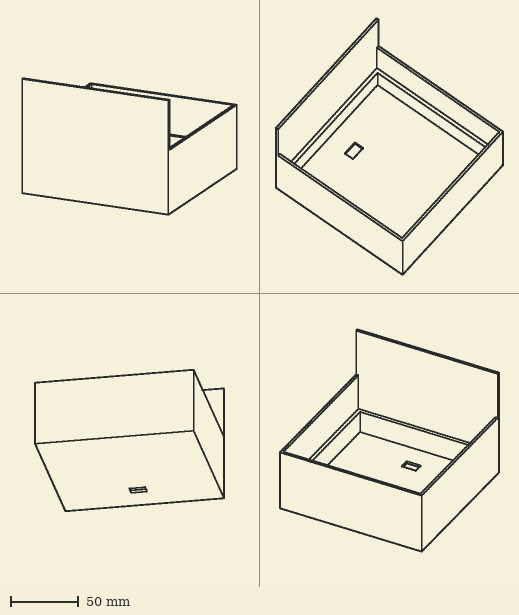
import cadquery as cq

side = 119.5
box_height = 50.0
panel_height = 89.0
wall = 2.0

floor = 2.0
ledge_height = 20.0
lower_wall = 5.0

opening_length = 12.0
opening_width = 7.6
opening_from_front = 26.2


def block(length, width, bottom, top, center_y=0.0):
    """Upright block centred on X, spanning bottom to top in Z."""
    return (
        cq.Workplane("XY", origin=(0, center_y, bottom))
        .rect(length, width)
        .extrude(top - bottom)
    )


front_y = -side / 2
body = block(side, side, 0, box_height)
panel = block(side, wall, 0, panel_height, front_y + wall / 2)

upper_side = side - 2 * wall
lower_side = side - 2 * lower_wall
upper_cavity = block(upper_side, upper_side, ledge_height, box_height)
lower_cavity = block(lower_side, lower_side, floor, ledge_height)
opening = block(opening_length, opening_width, 0, floor, front_y + opening_from_front)

result = body.union(panel).cut(upper_cavity).cut(lower_cavity).cut(opening)